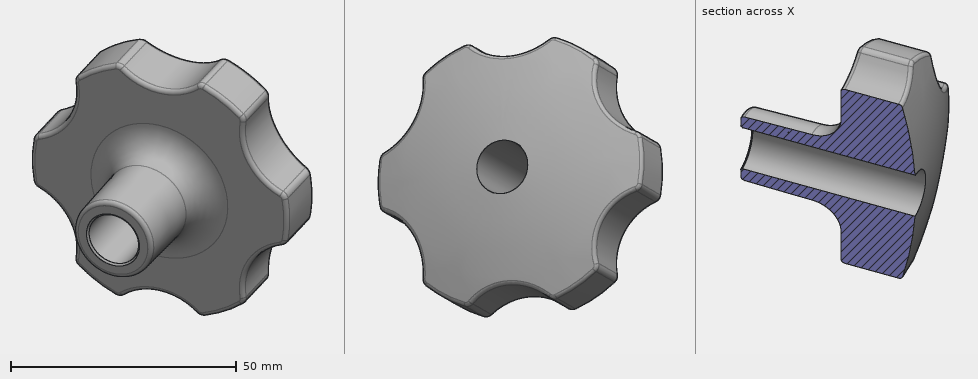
import cadquery as cq
import math

head_radius = 31.5
lobe_count = 6
scallop_floor_radius = 25.95
scallop_radius = 14.1
lobe_corner_radius = 1.9
edge_radius = 1.0
dome_height = 17.8
dome_rim_height = 13.0

stem_length = 24.0
stem_root_radius = 9.8
stem_end_radius = 9.5
cove_radius = 6.9
stem_edge_radius = 1.0

bore_radius = 6.05
bore_chamfer = 0.45

def cylinder(radius, start, end):
    """Round bar on the Y axis between two Y positions."""
    return cq.Workplane("XZ", origin=(0, end, 0)).circle(radius).extrude(end - start)

def make_head():
    rise = dome_height - dome_rim_height
    dome_center = (dome_height + dome_rim_height) / 2 - (head_radius**2 - bore_radius**2) / (2 * rise)
    dome_radius = math.hypot(head_radius, dome_rim_height - dome_center)
    head = (
        cq.Workplane("YZ")
        .lineTo(0, head_radius)
        .lineTo(dome_rim_height, head_radius)
        .radiusArc((dome_center + dome_radius, 0), dome_radius)
        .close()
        .revolve(360, (0, 0, 0), (1, 0, 0))
    )
    scallop_distance = scallop_floor_radius + scallop_radius
    scallops = (
        cq.Workplane("XZ", origin=(0, dome_height, 0))
        .polarArray(scallop_distance, 180 / lobe_count, 360, lobe_count)
        .circle(scallop_radius)
        .extrude(dome_height)
    )
    head = head.cut(scallops).edges("|Y").fillet(lobe_corner_radius)

    return head.faces("<Y or >Y").edges().fillet(edge_radius)

def make_stem():
    stem = (
        cq.Workplane("YZ")
        .lineTo(0, stem_root_radius + cove_radius)
        .radiusArc((-cove_radius, stem_root_radius), cove_radius)
        .lineTo(-stem_length, stem_end_radius)
        .lineTo(-stem_length, 0)
        .close()
        .revolve(360, (0, 0, 0), (1, 0, 0))
    )
    return stem.faces("<Y").edges().fillet(stem_edge_radius)


knob = make_head().union(make_stem())
knob = knob.cut(cylinder(bore_radius, -stem_length, 2 * dome_height))
bore_mouth = knob.faces("<Y").edges("%CIRCLE").edges(cq.selectors.RadiusNthSelector(0))
result = bore_mouth.chamfer(bore_chamfer)